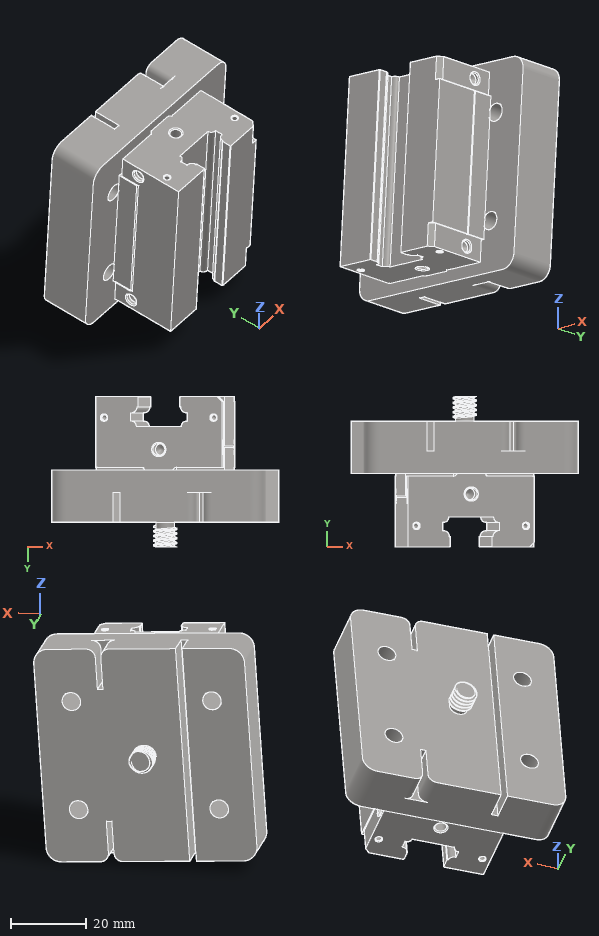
import cadquery as cq
import math

TURN = 3.75

PLATE_WIDTH = 57.05
PLATE_HEIGHT = 59.05
PLATE_THICKNESS = 13.9
PLATE_CORNER_RADIUS = 4.0
PLATE_HOLE_DIAMETER = 5.0
PLATE_HOLE_SPACING_X = 38.05
PLATE_HOLE_SPACING_Z = 30.0

SLOT_OFFSET = 11.0
SLOT_DEPTH = 7.9
THROUGH_SLOT_WIDTH = 1.8
BLIND_SLOT_WIDTH = 1.5
BLIND_SLOT_LENGTH = 11.2
MOUTH_RADIUS = 2.35

SCREW_PROJECTION = 6.6
SCREW_SEAT_DEPTH = 6.2
SCREW_CORE_DIAMETER = 5.0
THREAD_DIAMETER = 6.35
THREAD_PITCH = 1.25
THREAD_START = 1.1
THREAD_ROOT_WIDTH = 1.0
THREAD_CREST_WIDTH = 0.25
THREAD_OVERLAP = 0.1

CARRIAGE_WIDTH = 33.55
CARRIAGE_HEIGHT = 52.7
CARRIAGE_FRONT = 19.5
CARRIAGE_GAP = 0.7
BOSS_WIDTH = 7.35
EDGE_CHAMFER = 1.35

LIP_HALF_WIDTH = 5.55
LIP_DEPTH = 2.8
LIP_CHAMFER = 0.2
OUTER_BEAD_HALF_WIDTH = 5.8
OUTER_BEAD_RADIUS = 1.6
INNER_BEAD_RADIUS = 1.35
FLOOR_HALF_WIDTH = 5.95
FLOOR_DEPTH = 7.95
NOTCH_HALF_WIDTH = 7.5

END_HOLE_Y = -5.4
END_HOLE_DEPTH = 10.9
SIDE_HOLE_Y = -6.0
SIDE_HOLE_INSET = 3.1
SIDE_HOLE_DEPTH = 1.25
TAP_DIAMETER = 3.2
TAP_MOUTH_DIAMETER = 3.8
PIN_HOLE_X = 14.55
PIN_HOLE_Y = -13.85
PIN_HOLE_DEPTH = 4.05
PIN_HOLE_DIAMETER = 1.55
PIN_HOLE_MOUTH_DIAMETER = 2.0
DRILL_POINT_ANGLE = 118.0

INSERT_LENGTH = 39.8
INSERT_DEPTH = 5.9
INSERT_CLEARANCE = 0.4
INSERT_PROJECTION = 0.25

SIDES = (-1, 1)
boss_root_half = BOSS_WIDTH / 2 + CARRIAGE_GAP


def box(x_range, y_range, z_range):
    """Box between the given pairs of coordinates, in any order."""
    ranges = [sorted(pair) for pair in (x_range, y_range, z_range)]
    sizes = [high - low for low, high in ranges]
    low_corner = tuple(low for low, high in ranges)
    return cq.Workplane("XY").box(*sizes, centered=False).translate(low_corner)


def drilled_hole(diameter, mouth_diameter, depth, mouth, direction):
    """Drill-shaped cutter with a 45 degree mouth and a conical end."""
    radius = diameter / 2
    mouth_radius = mouth_diameter / 2
    point = radius / math.tan(math.radians(DRILL_POINT_ANGLE / 2))
    outline = [
        (0, 0),
        (mouth_radius, 0),
        (radius, mouth_radius - radius),
        (radius, depth),
        (0, depth + point),
    ]
    across = cq.Vector(0, 1, 0)
    plane = cq.Plane(origin=mouth, xDir=across, normal=across.cross(cq.Vector(*direction)))
    return cq.Workplane(plane).polyline(outline).close().revolve(360, (0, 0), (0, 1))


def blind_slot(end):
    """Slot with flared mouth running in from one end face of the plate."""
    half = BLIND_SLOT_WIDTH / 2
    mouth_half = half + MOUTH_RADIUS
    top = PLATE_HEIGHT / 2
    shoulder = top - MOUTH_RADIUS
    bend = MOUTH_RADIUS * (1 - math.sqrt(0.5))
    floor = top - BLIND_SLOT_LENGTH
    outline = (
        cq.Workplane("XZ", origin=(SLOT_OFFSET, PLATE_THICKNESS, 0))
        .moveTo(-mouth_half, end * top)
        .threePointArc((-half - bend, end * (top - bend)), (-half, end * shoulder))
        .lineTo(-half, end * floor)
        .lineTo(half, end * floor)
        .lineTo(half, end * shoulder)
        .threePointArc((half + bend, end * (top - bend)), (mouth_half, end * top))
        .close()
    )
    return outline.extrude(SLOT_DEPTH)


def make_plate():
    plate = box(
        (-PLATE_WIDTH / 2, PLATE_WIDTH / 2),
        (0, PLATE_THICKNESS),
        (-PLATE_HEIGHT / 2, PLATE_HEIGHT / 2),
    )
    plate = plate.edges("|Y").fillet(PLATE_CORNER_RADIUS)
    holes = (
        cq.Workplane("XZ")
        .rarray(PLATE_HOLE_SPACING_X, PLATE_HOLE_SPACING_Z, 2, 2)
        .circle(PLATE_HOLE_DIAMETER / 2)
        .extrude(-PLATE_THICKNESS)
    )
    through_slot = box(
        (-SLOT_OFFSET - THROUGH_SLOT_WIDTH / 2, -SLOT_OFFSET + THROUGH_SLOT_WIDTH / 2),
        (PLATE_THICKNESS - SLOT_DEPTH, PLATE_THICKNESS),
        (-PLATE_HEIGHT / 2, PLATE_HEIGHT / 2),
    )
    screw_seat = (
        cq.Workplane("XZ", origin=(0, PLATE_THICKNESS, 0))
        .circle(SCREW_CORE_DIAMETER / 2)
        .extrude(SCREW_SEAT_DEPTH)
    )
    plate = plate.cut(holes).cut(through_slot).cut(screw_seat)
    for end in SIDES:
        plate = plate.cut(blind_slot(end))
    return plate


def make_screw():
    """Screw built along Z from its inner end, then laid along Y in its seat."""
    core_radius = SCREW_CORE_DIAMETER / 2
    inner_radius = core_radius - THREAD_OVERLAP
    crest_radius = THREAD_DIAMETER / 2
    length = SCREW_SEAT_DEPTH + SCREW_PROJECTION
    helix_start = SCREW_SEAT_DEPTH + THREAD_START
    helix_height = length - helix_start + THREAD_PITCH / 2

    core = cq.Workplane("XY").circle(core_radius).extrude(length)
    path = cq.Wire.makeHelix(THREAD_PITCH, helix_height, inner_radius)
    thread = (
        cq.Workplane("XZ")
        .polyline([
            (inner_radius, -THREAD_ROOT_WIDTH / 2),
            (crest_radius, -THREAD_CREST_WIDTH / 2),
            (crest_radius, THREAD_CREST_WIDTH / 2),
            (inner_radius, THREAD_ROOT_WIDTH / 2),
        ])
        .close()
        .sweep(cq.Workplane(path), isFrenet=True)
        .rotate((0, 0, 0), (0, 0, 1), 180)
        .translate((0, 0, helix_start))
    )
    envelope = cq.Workplane("XY").circle(THREAD_DIAMETER).extrude(length)
    screw = core.union(thread.intersect(envelope))
    screw = screw.rotate((0, 0, 0), (1, 0, 0), -90)
    return screw.translate((0, PLATE_THICKNESS - SCREW_SEAT_DEPTH, 0))


def rail_groove():
    """Half of the groove section, mirrored: lip, round bead, notch, round bead, floor."""
    notch_start = LIP_DEPTH + OUTER_BEAD_RADIUS
    notch_end = FLOOR_DEPTH - INNER_BEAD_RADIUS
    outer_bead_x = OUTER_BEAD_HALF_WIDTH + OUTER_BEAD_RADIUS
    inner_bead_x = FLOOR_HALF_WIDTH + INNER_BEAD_RADIUS
    diagonal = math.sqrt(0.5)
    outer_middle = (
        outer_bead_x - OUTER_BEAD_RADIUS * diagonal,
        LIP_DEPTH + OUTER_BEAD_RADIUS * diagonal,
    )
    inner_middle = (
        inner_bead_x - INNER_BEAD_RADIUS * diagonal,
        FLOOR_DEPTH - INNER_BEAD_RADIUS * diagonal,
    )
    half_groove = (
        cq.Workplane("XY", origin=(0, -CARRIAGE_FRONT, 0))
        .lineTo(LIP_HALF_WIDTH + LIP_CHAMFER, 0)
        .lineTo(LIP_HALF_WIDTH, LIP_CHAMFER)
        .lineTo(LIP_HALF_WIDTH, LIP_DEPTH)
        .lineTo(OUTER_BEAD_HALF_WIDTH, LIP_DEPTH)
        .threePointArc(outer_middle, (outer_bead_x, notch_start))
        .lineTo(NOTCH_HALF_WIDTH, notch_start)
        .lineTo(NOTCH_HALF_WIDTH, notch_end)
        .lineTo(inner_bead_x, notch_end)
        .threePointArc(inner_middle, (FLOOR_HALF_WIDTH, FLOOR_DEPTH))
        .lineTo(0, FLOOR_DEPTH)
        .close()
        .extrude(CARRIAGE_HEIGHT / 2, both=True)
    )
    return half_groove.union(half_groove.mirror("YZ"))


def carriage_body():
    """Block with a bevelled boss that reaches the plate, grooved for the rail."""
    half = CARRIAGE_WIDTH / 2
    outline = [
        (-half, -CARRIAGE_FRONT),
        (half, -CARRIAGE_FRONT),
        (half, -CARRIAGE_GAP),
        (boss_root_half, -CARRIAGE_GAP),
        (BOSS_WIDTH / 2, 0),
        (-BOSS_WIDTH / 2, 0),
        (-boss_root_half, -CARRIAGE_GAP),
        (-half, -CARRIAGE_GAP),
    ]
    block = cq.Workplane("XY").polyline(outline).close().extrude(CARRIAGE_HEIGHT / 2, both=True)
    return block.cut(rail_groove())


def end_chamfer(end):
    """Cutter for the front +X edge, from one end of the carriage to the insert."""
    half = CARRIAGE_WIDTH / 2
    corner = [
        (half, -CARRIAGE_FRONT),
        (half, -CARRIAGE_FRONT + EDGE_CHAMFER),
        (half - EDGE_CHAMFER, -CARRIAGE_FRONT),
    ]
    length = (CARRIAGE_HEIGHT - INSERT_LENGTH) / 2
    start = INSERT_LENGTH / 2 if end > 0 else -CARRIAGE_HEIGHT / 2
    return cq.Workplane("XY", origin=(0, 0, start)).polyline(corner).close().extrude(length)


def make_carriage():
    half = CARRIAGE_WIDTH / 2
    top = CARRIAGE_HEIGHT / 2
    carriage = carriage_body()
    land = box(
        (half, half + INSERT_PROJECTION),
        (-CARRIAGE_FRONT, -INSERT_DEPTH - INSERT_CLEARANCE),
        (-INSERT_LENGTH / 2, INSERT_LENGTH / 2),
    )
    carriage = carriage.union(land)
    for side in SIDES:
        recess = box(
            (side * boss_root_half, side * half),
            (-INSERT_DEPTH - INSERT_CLEARANCE, -CARRIAGE_GAP),
            (-INSERT_LENGTH / 2, INSERT_LENGTH / 2),
        )
        carriage = carriage.cut(recess)
    for end in SIDES:
        carriage = carriage.cut(end_chamfer(end))
        inward = (0, 0, -end)
        carriage = carriage.cut(drilled_hole(
            TAP_DIAMETER, TAP_MOUTH_DIAMETER, END_HOLE_DEPTH, (0, END_HOLE_Y, end * top), inward
        ))
        for side in SIDES:
            mouth = (side * PIN_HOLE_X, PIN_HOLE_Y, end * top)
            carriage = carriage.cut(drilled_hole(
                PIN_HOLE_DIAMETER, PIN_HOLE_MOUTH_DIAMETER, PIN_HOLE_DEPTH, mouth, inward
            ))
            mouth = (side * half, SIDE_HOLE_Y, end * (top - SIDE_HOLE_INSET))
            carriage = carriage.cut(drilled_hole(
                TAP_DIAMETER, TAP_MOUTH_DIAMETER, SIDE_HOLE_DEPTH, mouth, (-side, 0, 0)
            ))
    return carriage


def make_insert(side):
    return box(
        (side * boss_root_half, side * (CARRIAGE_WIDTH / 2 + INSERT_PROJECTION)),
        (-INSERT_DEPTH, 0),
        (-INSERT_LENGTH / 2, INSERT_LENGTH / 2),
    )


def turned(body):
    return body.rotate((0, 0, 0), (0, 1, 0), TURN).val()


plate = turned(make_plate())
screw = turned(make_screw())
carriage = turned(make_carriage())
inserts = [turned(make_insert(side)) for side in SIDES]

result = cq.Compound.makeCompound([plate, screw, carriage, *inserts])